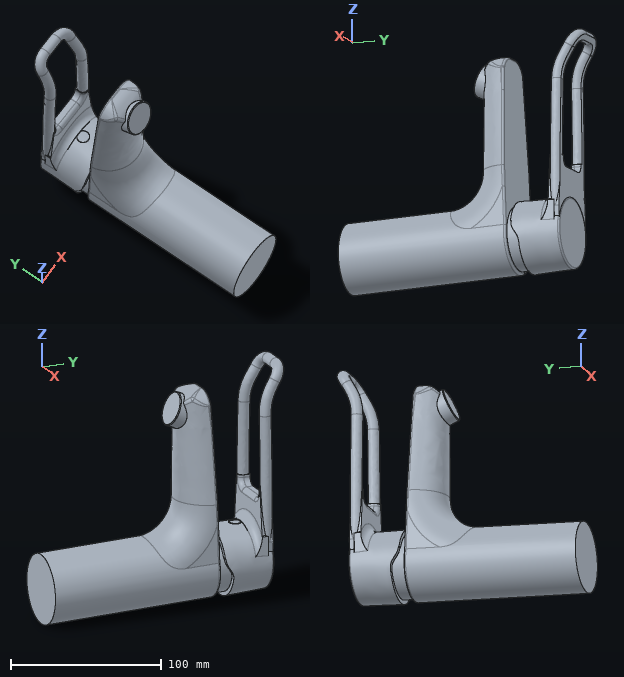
import cadquery as cq
import math


TILT = 2.0
BASE_R = 24.2
BODY_LENGTH = 120.1
BACK_ROUND = 1.5

COLUMN_FRONT_Y = 96.2
COLUMN_HALF_WIDTH = 23.5
COLUMN_TOP_Z = 127.4
COLUMN_TOP_HALF_WIDTH = 16.7
BEND_R = 24.0
BEND_Y = COLUMN_FRONT_Y - BEND_R
BEND_Z = BASE_R + BEND_R + BEND_Y * math.tan(math.radians(TILT))
BEND_RING_R = BEND_R + COLUMN_HALF_WIDTH
COLUMN_STRAIGHT_Z = BEND_Z

HEAD_FLAT_HALF = 4.5
HEAD_SHOULDER = (17.8, 118.0)
HEAD_CROWN_MID = (13.2, 124.3)
CROWN_PROFILE = [(115.0, 127.4), (107.0, 126.0), (97.0, 117.0)]
CROWN_ROUND = 3.0

NOZZLE_R = 11.8
NOZZLE_FACE_Y = 94.1
NOZZLE_FACE_Z = 114.3
NOZZLE_TILT = 23.5
NOZZLE_DEPTH = 10.0
NOZZLE_CHAMFER = 0.6

NECK_R = 21.8
NECK_OVERLAP = 5.0
CAP_FRONT_Y = 123.7
CAP_STEP_Y = 129.3
CAP_STEP_TOP_Z = 12.0
CAP_STEP_BOTTOM_Z = -3.0
CAP_BACK_Y = 158.5
CAP_FRONT_R = 24.95
CAP_BACK_R = 23.8
CAP_BACK_ROUND = 1.2
MARK_R = 4.3
MARK_Y = 140.3
MARK_DEPTH = 0.2

ROD_R = 4.1
ROD_FLAT = 3.5
ROD_Y = 154.6
ROD_LEAN = 30.0
LOOP_TOP_Y = 167.06
LOOP_TOP_Z = 138.18
LOOP_BAR_HALF = 6.5
LOOP_CORNER_R = 9.2
LEG_BOTTOM = (19.7, 20.0)
LEG_BEND = (17.8, 107.0)
LEG_TAPER = 0.06

PANEL_FRONT_Y = 150.0
PANEL_HALF_WIDTH = LEG_BOTTOM[0] + ROD_R
PANEL_FOOT_HALF_WIDTH = 22.0
PANEL_BOTTOM_Z = 2.5
PANEL_SHOULDER_Z = 55.5
WINDOW_BOTTOM_Z = 48.7
WINDOW_HALF_WIDTH = 15.3
WINDOW_CORNER_R = 5.0
PANEL_TOP_ROUND = 3.5
CAP_BLEND_R = 6.0

FAR = 400.0


def axis_height(y):
    """Height of the tilted base axis at depth y."""
    return y * math.tan(math.radians(TILT))


def tilt(shape):
    """Turn a shape built along +Y onto the base axis."""
    return shape.rotate((0, 0, 0), (1, 0, 0), TILT)


def turned(points):
    """Solid of revolution about the base axis from (radius, depth) points."""
    return tilt(cq.Workplane("XY").polyline(points).close().revolve(360, (0, 0, 0), (0, 1, 0)))


def slab(y_from, y_to):
    """Block between two depths, larger than the part sideways."""
    return cq.Workplane("XY").box(FAR, y_to - y_from, FAR).translate((0, (y_from + y_to) / 2, 0))


def body_envelope():
    """Space between the upright base face and the tilted back face."""
    behind = tilt(slab(BODY_LENGTH - FAR, BODY_LENGTH))
    return slab(0, FAR).intersect(behind)


def column_section(wp, half_width, back_y):
    """Half-circle toward the front, carried straight back past the body."""
    centre_y = COLUMN_FRONT_Y + half_width
    return (
        wp.moveTo(half_width, back_y)
        .lineTo(half_width, centre_y)
        .threePointArc((0, COLUMN_FRONT_Y), (-half_width, centre_y))
        .lineTo(-half_width, back_y)
        .close()
    )


def column():
    back_y = BODY_LENGTH + BASE_R
    low_z = axis_height(BODY_LENGTH)
    lower = column_section(cq.Workplane("XY", origin=(0, 0, low_z)), COLUMN_HALF_WIDTH, back_y)
    lower = lower.extrude(COLUMN_STRAIGHT_Z - low_z)
    upper = column_section(
        cq.Workplane("XY", origin=(0, 0, COLUMN_STRAIGHT_Z)), COLUMN_HALF_WIDTH, back_y
    )
    upper = column_section(
        upper.workplane(offset=COLUMN_TOP_Z - COLUMN_STRAIGHT_Z), COLUMN_TOP_HALF_WIDTH, back_y
    ).loft(ruled=True)
    upper = upper.intersect(head_outline()).intersect(head_crown())
    return round_crown(lower.union(upper))


def round_crown(solid):
    """Soften the ridges where the crown meets both sides of the head."""
    back_y, _ = CROWN_PROFILE[0]
    low_z = CROWN_PROFILE[-1][1]
    right_ridges = cq.selectors.BoxSelector((HEAD_FLAT_HALF, 0, low_z), (BASE_R, back_y, FAR))
    left_ridges = cq.selectors.BoxSelector((-BASE_R, 0, low_z), (-HEAD_FLAT_HALF, back_y, FAR))
    return solid.edges(right_ridges + left_ridges).fillet(CROWN_ROUND)


def head_outline():
    """Front outline of the column with its rounded crown, as a bar along Y."""
    shoulder_x, shoulder_z = HEAD_SHOULDER
    mid_x, mid_z = HEAD_CROWN_MID
    return (
        cq.Workplane("XZ")
        .moveTo(-BASE_R, 0)
        .lineTo(BASE_R, 0)
        .lineTo(BASE_R, COLUMN_STRAIGHT_Z)
        .lineTo(shoulder_x, shoulder_z)
        .threePointArc((mid_x, mid_z), (HEAD_FLAT_HALF, COLUMN_TOP_Z))
        .lineTo(-HEAD_FLAT_HALF, COLUMN_TOP_Z)
        .threePointArc((-mid_x, mid_z), (-shoulder_x, shoulder_z))
        .lineTo(-BASE_R, COLUMN_STRAIGHT_Z)
        .close()
        .extrude(-FAR)
    )


def head_crown():
    """Side outline of the column with the crown falling toward the nozzle."""
    back, middle, front = CROWN_PROFILE
    return (
        cq.Workplane("YZ")
        .moveTo(FAR, 0)
        .lineTo(FAR, COLUMN_TOP_Z)
        .lineTo(*back)
        .threePointArc(middle, front)
        .lineTo(0, front[1])
        .lineTo(0, 0)
        .close()
        .extrude(BASE_R, both=True)
    )


def bend():
    """Inner half of a quarter ring that sweeps from the barrel up into the column."""
    radius = COLUMN_HALF_WIDTH
    return (
        cq.Workplane("XY", origin=(0, BEND_Y, BEND_Z))
        .center(0, BEND_RING_R)
        .moveTo(radius, 0)
        .threePointArc((0, -radius), (-radius, 0))
        .close()
        .revolve(90 - TILT, (0, -BEND_RING_R, 0), (-1, -BEND_RING_R, 0))
    )


def web():
    """Full-width web filling the corner between the bend, the barrel and the back face."""
    diagonal = BEND_RING_R * math.sqrt(0.5)
    low_z = BEND_Z - BEND_RING_R
    back_y = BODY_LENGTH + BASE_R
    return (
        cq.Workplane("YZ")
        .moveTo(BEND_Y, low_z)
        .threePointArc((BEND_Y + diagonal, BEND_Z - diagonal), (BEND_Y + BEND_RING_R, BEND_Z))
        .lineTo(back_y, BEND_Z)
        .lineTo(back_y, low_z)
        .close()
        .extrude(COLUMN_HALF_WIDTH, both=True)
    )


def body():
    start = -BASE_R
    end = BODY_LENGTH + BASE_R
    barrel = turned([(0, start), (BASE_R, start), (BASE_R, end), (0, end)])
    solid = barrel.union(column()).union(web()).union(bend())
    return solid.intersect(body_envelope()).faces(">Y").edges().fillet(BACK_ROUND)


def nozzle():
    lean = math.radians(NOZZLE_TILT)
    inward = (0, math.cos(lean), -math.sin(lean))
    face = cq.Plane(origin=(0, NOZZLE_FACE_Y, NOZZLE_FACE_Z), xDir=(1, 0, 0), normal=inward)
    outlet = cq.Workplane(face).circle(NOZZLE_R).extrude(NOZZLE_DEPTH)
    return outlet.edges("<Y").chamfer(NOZZLE_CHAMFER)


def neck():
    start = BODY_LENGTH - NECK_OVERLAP
    end = CAP_STEP_Y + NECK_OVERLAP
    return turned([(0, start), (NECK_R, start), (NECK_R, end), (0, end)])


def cap():
    """Tapered drum with an upright back face and a cut-back lower front."""
    far_y = CAP_BACK_Y + CAP_FRONT_R
    drum = turned([(0, CAP_FRONT_Y), (CAP_FRONT_R, CAP_FRONT_Y), (CAP_BACK_R, far_y), (0, far_y)])
    drum = drum.intersect(slab(0, CAP_BACK_Y))
    return drum.faces(">Y").edges().fillet(CAP_BACK_ROUND).cut(cap_step())


def cap_step():
    """Bar along X with an S-shaped upper end, removed from the lower cap front."""
    middle = ((CAP_FRONT_Y + CAP_STEP_Y) / 2, (CAP_STEP_TOP_Z + CAP_STEP_BOTTOM_Z) / 2)
    return (
        cq.Workplane("YZ")
        .moveTo(0, -FAR)
        .lineTo(CAP_STEP_Y, -FAR)
        .lineTo(CAP_STEP_Y, CAP_STEP_BOTTOM_Z)
        .spline([middle, (CAP_FRONT_Y, CAP_STEP_TOP_Z)], tangents=[(0, 1), (0, 1)], includeCurrent=True)
        .lineTo(0, CAP_STEP_TOP_Z)
        .close()
        .extrude(FAR, both=True)
    )


def mark():
    """Shallow round recess on the crest of the cap."""
    ring = turned([
        (0, CAP_FRONT_Y),
        (CAP_FRONT_R - MARK_DEPTH, CAP_FRONT_Y),
        (CAP_BACK_R - MARK_DEPTH, CAP_BACK_Y),
        (0, CAP_BACK_Y),
    ])
    plug = cq.Workplane("XY", origin=(0, MARK_Y, 0)).circle(MARK_R).extrude(FAR)
    return plug.cut(ring)


def rod_section(wp):
    """Circle with a flat toward +Y of the section plane."""
    half_flat = math.sqrt(ROD_R**2 - ROD_FLAT**2)
    return (
        wp.moveTo(half_flat, ROD_FLAT)
        .threePointArc((0, -ROD_R), (-half_flat, ROD_FLAT))
        .close()
    )


def loop_half():
    """One leg of the lever loop, from its foot to the middle of the top bar."""
    lean = math.radians(ROD_LEAN)

    def on_top_plane(x, drop):
        return cq.Vector(x, LOOP_TOP_Y - drop * math.sin(lean), LOOP_TOP_Z - drop * math.cos(lean))

    def on_leg(point):
        return cq.Vector(point[0], ROD_Y, point[1])

    leg_end = on_top_plane(LOOP_BAR_HALF + LOOP_CORNER_R, LOOP_CORNER_R)

    upright = cq.Vector(0, 0, 1)
    leaning = cq.Vector(0, math.sin(lean), math.cos(lean))
    bend_slope = cq.Vector(-LEG_TAPER, 0, 1).normalized()
    leg = cq.Edge.makeSpline([on_leg(LEG_BOTTOM), on_leg(LEG_BEND)], tangents=[upright, bend_slope])
    lean_back = cq.Edge.makeSpline([on_leg(LEG_BEND), leg_end], tangents=[bend_slope, leaning])
    path = cq.Wire.assembleEdges([leg, lean_back])
    foot = cq.Workplane("XY", origin=(LEG_BOTTOM[0], ROD_Y, LEG_BOTTOM[1]))
    leg_rod = rod_section(foot).sweep(cq.Workplane(path))

    bar_plane = cq.Plane(
        origin=on_top_plane(0, 0), xDir=(0, -math.sin(lean), -math.cos(lean)), normal=(1, 0, 0)
    )
    bar_rod = rod_section(cq.Workplane(bar_plane)).extrude(LOOP_BAR_HALF)
    corner_rod = rod_section(cq.Workplane(bar_plane).workplane(offset=LOOP_BAR_HALF)).revolve(
        90, (LOOP_CORNER_R, 0, 0), (LOOP_CORNER_R, 1, 0)
    )
    return leg_rod.union(corner_rod).union(bar_rod)


def loop():
    half = loop_half()
    return half.union(half.mirror("YZ"))


def panel():
    """Upright plate closing the foot of the loop, with a rounded window sill."""
    back_y = ROD_Y + ROD_FLAT
    plate = (
        cq.Workplane("XZ", origin=(0, back_y, 0))
        .moveTo(-PANEL_FOOT_HALF_WIDTH, PANEL_BOTTOM_Z)
        .lineTo(PANEL_FOOT_HALF_WIDTH, PANEL_BOTTOM_Z)
        .lineTo(PANEL_HALF_WIDTH, LEG_BOTTOM[1])
        .lineTo(LEG_BOTTOM[0], PANEL_SHOULDER_Z)
        .lineTo(-LEG_BOTTOM[0], PANEL_SHOULDER_Z)
        .lineTo(-PANEL_HALF_WIDTH, LEG_BOTTOM[1])
        .close()
        .extrude(back_y - PANEL_FRONT_Y)
    )
    window = (
        cq.Workplane("XZ", origin=(0, FAR, 0))
        .center(0, WINDOW_BOTTOM_Z + PANEL_SHOULDER_Z / 2)
        .rect(2 * WINDOW_HALF_WIDTH, PANEL_SHOULDER_Z)
        .extrude(2 * FAR)
        .edges("|Y")
        .fillet(WINDOW_CORNER_R)
    )
    margin = 0.1
    sill = cq.selectors.BoxSelector(
        (-WINDOW_HALF_WIDTH - margin, PANEL_FRONT_Y - margin, WINDOW_BOTTOM_Z - margin),
        (WINDOW_HALF_WIDTH + margin, PANEL_FRONT_Y + margin, PANEL_SHOULDER_Z),
    )
    return plate.cut(window).edges("<Y").edges(sill).fillet(PANEL_TOP_ROUND)


def cap_blend():
    """Concave ring easing the cap into the panel, as wide as the panel."""
    inner_r = CAP_BACK_R - CAP_BACK_ROUND
    start_r = (CAP_FRONT_R + CAP_BACK_R) / 2
    outer_r = start_r + CAP_BLEND_R
    front_y = PANEL_FRONT_Y - CAP_BLEND_R
    back_y = ROD_Y
    diagonal = CAP_BLEND_R * (1 - math.sqrt(0.5))
    ring = (
        cq.Workplane("XY", origin=(0, 0, axis_height(PANEL_FRONT_Y)))
        .moveTo(inner_r, front_y)
        .lineTo(start_r, front_y)
        .threePointArc((start_r + diagonal, PANEL_FRONT_Y - diagonal), (outer_r, PANEL_FRONT_Y))
        .lineTo(outer_r, back_y)
        .lineTo(inner_r, back_y)
        .close()
        .revolve(360, (0, 0, 0), (0, 1, 0))
    )
    limits = cq.Workplane("XY", origin=(0, CAP_BACK_Y - FAR / 2, PANEL_BOTTOM_Z))
    return ring.intersect(limits.rect(2 * PANEL_HALF_WIDTH, FAR).extrude(FAR))


def lever():
    return cap().cut(mark()).union(cap_blend()).union(panel()).union(loop())


result = body().union(nozzle()).union(neck()).union(lever())